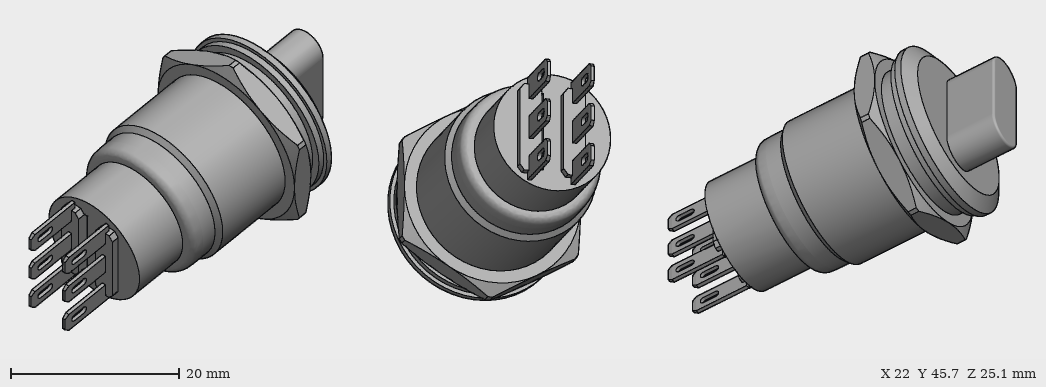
import cadquery as cq
import math


bezel_diameter = 22.0
bezel_face_diameter = 18.3
bezel_lip_diameter = 21.0
bezel_lip_height = 0.85
bezel_rim_height = 0.85
bezel_bevel_height = 1.2
bezel_front = bezel_lip_height + bezel_rim_height + bezel_bevel_height

knob_width = 5.2
knob_length = 15.5
knob_height = 6.65
knob_edge_radius = 0.3

barrel_diameter = 19.0
barrel_length = 16.5
collar_diameter = 17.7
barrel_bevel = (barrel_diameter - collar_diameter) / 2
collar_straight = 2.05
collar_nose_length = 1.95
collar_nose_diameter = 15.5
collar_shoulder_diameter = 17.1
collar_shoulder_setback = 0.4
collar_end = -(barrel_length + collar_straight + collar_nose_length)

block_diameter = 14.6
block_length = 7.6
block_end = collar_end - block_length

nut_across_flats = 22.0
nut_across_corners = 25.05
nut_thickness = 2.9
nut_gap = 1.95
nut_bevel_angle = 30.0

row_positions = (-2.98, 2.48)
ridge_width = 2.75
ridge_length = 10.9
ridge_height = 1.0
ridge_corner_width = 0.55
ridge_corner_length = 0.7

groove_width = 0.5
groove_length = 9.6
groove_depth = 0.5

pin_pitch = 5.02
pin_width = 2.8
pin_thickness = 0.5
pin_bevel_length = 0.6
pin_bevel_width = 0.5
pin_tip_thickness = 0.38
pin_gap = 0.4
overall_length = 45.7
pin_tip = bezel_front + knob_height - overall_length
pin_root = block_end - pin_gap
slot_length = 2.55
slot_width = 1.0
slot_tip_distance = 1.15


def cylinder(diameter, y_start, y_end):
    """Cylinder on the switch axis between two Y positions."""
    plane = cq.Workplane("XZ", origin=(0, y_end, 0))
    return plane.circle(diameter / 2).extrude(y_end - y_start)


def make_bezel():
    profile = [
        (0, 0),
        (bezel_lip_diameter / 2, 0),
        (bezel_lip_diameter / 2, bezel_lip_height),
        (bezel_diameter / 2, bezel_lip_height),
        (bezel_diameter / 2, bezel_front - bezel_bevel_height),
        (bezel_face_diameter / 2, bezel_front),
        (0, bezel_front),
    ]
    return cq.Workplane("XY").polyline(profile).close().revolve(360, (0, 0), (0, 1))


def make_knob():
    base = cq.Workplane("XZ", origin=(0, bezel_front, 0))
    knob = base.slot2D(knob_length, knob_width, 90).extrude(-knob_height)
    return knob.faces(">Y").edges().fillet(knob_edge_radius)


def make_barrel():
    barrel = cylinder(barrel_diameter, -barrel_length, 0)
    return barrel.faces("<Y").edges().chamfer(barrel_bevel)


def make_collar():
    """Straight ring whose rear end curves smoothly inward to a flat face."""
    radius = collar_diameter / 2
    nose_radius = collar_nose_diameter / 2
    straight_end = collar_end + collar_nose_length
    shoulder = (collar_shoulder_diameter / 2, collar_end + collar_shoulder_setback)
    return (
        cq.Workplane("XY")
        .moveTo(0, -barrel_length)
        .lineTo(radius, -barrel_length)
        .lineTo(radius, straight_end)
        .spline([shoulder, (nose_radius, collar_end)], tangents=[(0, -1), (-1, 0)], includeCurrent=True)
        .lineTo(0, collar_end)
        .close()
        .revolve(360, (0, 0), (0, 1))
    )


def make_nut():
    """Hexagon with vertices at +Z and -Z, trimmed by a double-bevelled disc."""
    vertex_circle = nut_across_flats / math.cos(math.radians(30))
    front = -nut_gap
    back = front - nut_thickness
    hexagon = (
        cq.Workplane("XZ", origin=(0, front, 0))
        .polygon(6, vertex_circle)
        .extrude(nut_thickness)
        .rotate((0, 0, 0), (0, 1, 0), 30)
    )
    face_radius = nut_across_flats / 2
    corner_radius = nut_across_corners / 2
    bevel = (corner_radius - face_radius) * math.tan(math.radians(nut_bevel_angle))
    profile = [
        (0, back),
        (face_radius, back),
        (corner_radius, back + bevel),
        (corner_radius, front - bevel),
        (face_radius, front),
        (0, front),
    ]
    disc = cq.Workplane("XY").polyline(profile).close().revolve(360, (0, 0), (0, 1))
    return hexagon.intersect(disc)


def make_ridge(x):
    """Rectangular pad with its four corners cut off."""
    half_width = ridge_width / 2
    half_length = ridge_length / 2
    end_half_width = half_width - ridge_corner_width
    side_half_length = half_length - ridge_corner_length
    outline = [
        (-half_width, -side_half_length),
        (-end_half_width, -half_length),
        (end_half_width, -half_length),
        (half_width, -side_half_length),
        (half_width, side_half_length),
        (end_half_width, half_length),
        (-end_half_width, half_length),
        (-half_width, side_half_length),
    ]
    return (
        cq.Workplane("XZ", origin=(x, block_end, 0))
        .polyline(outline)
        .close()
        .extrude(ridge_height)
    )


def make_groove():
    x = row_positions[0] + (ridge_width + groove_width) / 2
    return (
        cq.Workplane("XZ", origin=(x, block_end, 0))
        .rect(groove_width, groove_length)
        .extrude(-groove_depth)
    )


def tapered_strip(plane, width, tip_width, depth):
    """Strip along Y that narrows from the shoulder to the pin tip."""
    shoulder = pin_tip + pin_bevel_length
    outline = [
        (-width / 2, pin_root),
        (-width / 2, shoulder),
        (-tip_width / 2, pin_tip),
        (tip_width / 2, pin_tip),
        (width / 2, shoulder),
        (width / 2, pin_root),
    ]
    return plane.polyline(outline).close().extrude(depth / 2, both=True)


def make_pin(x, z):
    """Flat pin with a tip bevelled on all four sides and a wire slot."""
    side_plane = cq.Workplane(cq.Plane((x, 0, z), xDir=(0, 0, -1), normal=(1, 0, 0)))
    top_plane = cq.Workplane("XY", origin=(x, 0, z))
    tip_width = pin_width - 2 * pin_bevel_width
    blade = tapered_strip(side_plane, pin_width, tip_width, pin_thickness)
    blade = blade.intersect(tapered_strip(top_plane, pin_thickness, pin_tip_thickness, pin_width))
    slot_center = pin_tip + slot_tip_distance + slot_length / 2
    slot = (
        side_plane.center(0, slot_center)
        .slot2D(slot_length, slot_width, 90)
        .extrude(pin_thickness, both=True)
    )
    return blade.cut(slot)


result = make_bezel()
result = result.union(make_knob())
result = result.union(make_barrel())
result = result.union(make_collar())
result = result.union(cylinder(block_diameter, block_end, collar_end))
result = result.union(make_nut())
result = result.cut(make_groove())

for row_x in row_positions:
    result = result.union(make_ridge(row_x))
    for step in (-1, 0, 1):
        result = result.union(make_pin(row_x, step * pin_pitch))